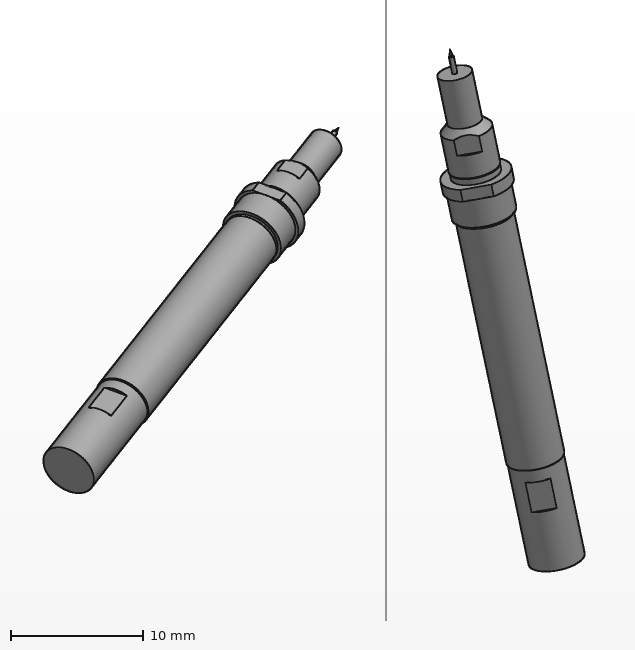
import cadquery as cq

REAR_FACE_Y = 0.0
BODY_REAR_Y = 8.5
COLLAR_REAR_Y = 29.2
FLANGE_REAR_Y = 31.5
FLANGE_FRONT_Y = 32.5
SLEEVE_REAR_Y = 33.0
CONE_REAR_Y = 36.3
NOSE_FRONT_Y = 41.0
NEEDLE_FRONT_Y = 42.4
TIP_CONE_REAR_Y = 42.6
TIP_Y = 43.0

REAR_RADIUS = 2.175
BODY_RADIUS = 2.25
BODY_RELIEF_RADIUS = 2.23
COLLAR_RADIUS = 2.5
FLANGE_RADIUS = 2.75
NECK_RADIUS = 1.95
SLEEVE_RADIUS = 2.0
NOSE_RADIUS = 1.35
NEEDLE_RADIUS = 0.2
TIP_RADIUS = 0.1

BODY_CHAMFER = BODY_RADIUS - REAR_RADIUS
RELIEF_LENGTH = 0.25
SLEEVE_CHAMFER_LENGTH = 0.1

FLANGE_FLAT_Z = 2.48
REAR_FLAT_Z = 1.95
REAR_FLAT_START_Y = 5.0
REAR_FLAT_END_Y = 7.5
SLEEVE_FLAT_Z = 1.75
SLEEVE_FLAT_START_Y = 35.0


def make_turned_profile():
    """Revolve the stepped half profile (radius, y) about the Y axis."""
    cone_front_y = CONE_REAR_Y + (SLEEVE_RADIUS - NOSE_RADIUS)
    outline = [
        (0, REAR_FACE_Y),
        (REAR_RADIUS, REAR_FACE_Y),
        (REAR_RADIUS, BODY_REAR_Y),
        (BODY_RADIUS, BODY_REAR_Y + BODY_CHAMFER),
        (BODY_RADIUS, COLLAR_REAR_Y - RELIEF_LENGTH),
        (BODY_RELIEF_RADIUS, COLLAR_REAR_Y - RELIEF_LENGTH),
        (BODY_RELIEF_RADIUS, COLLAR_REAR_Y),
        (COLLAR_RADIUS, COLLAR_REAR_Y),
        (COLLAR_RADIUS, FLANGE_REAR_Y),
        (NECK_RADIUS, FLANGE_REAR_Y),
        (NECK_RADIUS, SLEEVE_REAR_Y),
        (SLEEVE_RADIUS, SLEEVE_REAR_Y + SLEEVE_CHAMFER_LENGTH),
        (SLEEVE_RADIUS, CONE_REAR_Y),
        (NOSE_RADIUS, cone_front_y),
        (NOSE_RADIUS, NOSE_FRONT_Y),
        (NEEDLE_RADIUS, NOSE_FRONT_Y),
        (NEEDLE_RADIUS, NEEDLE_FRONT_Y),
        (TIP_RADIUS, NEEDLE_FRONT_Y),
        (TIP_RADIUS, TIP_CONE_REAR_Y),
        (0, TIP_Y),
    ]
    return cq.Workplane("XY").polyline(outline).close().revolve(360, (0, 0, 0), (0, 1, 0))


def make_slab(start_y, end_y, bottom_z, top_z):
    """Block wide enough to span the part in X between the given Y and Z limits."""
    return (
        cq.Workplane("XY", origin=(0, start_y, bottom_z))
        .box(2 * FLANGE_RADIUS, end_y - start_y, top_z - bottom_z, centered=(True, False, False))
    )


def make_flange():
    """Disc in front of the collar with a flat on its top and bottom."""
    disc = (
        cq.Workplane("XZ", origin=(0, FLANGE_FRONT_Y, 0))
        .circle(FLANGE_RADIUS)
        .extrude(FLANGE_FRONT_Y - FLANGE_REAR_Y)
    )
    return disc.intersect(make_slab(FLANGE_REAR_Y, FLANGE_FRONT_Y, -FLANGE_FLAT_Z, FLANGE_FLAT_Z))


def cut_flats(part, start_y, end_y, flat_z):
    """Mill a flat into the top and the bottom between two stations."""
    part = part.cut(make_slab(start_y, end_y, flat_z, FLANGE_RADIUS))
    return part.cut(make_slab(start_y, end_y, -FLANGE_RADIUS, -flat_z))


result = make_turned_profile().union(make_flange())
result = cut_flats(result, REAR_FLAT_START_Y, REAR_FLAT_END_Y, REAR_FLAT_Z)
result = cut_flats(result, SLEEVE_FLAT_START_Y, NOSE_FRONT_Y, SLEEVE_FLAT_Z)